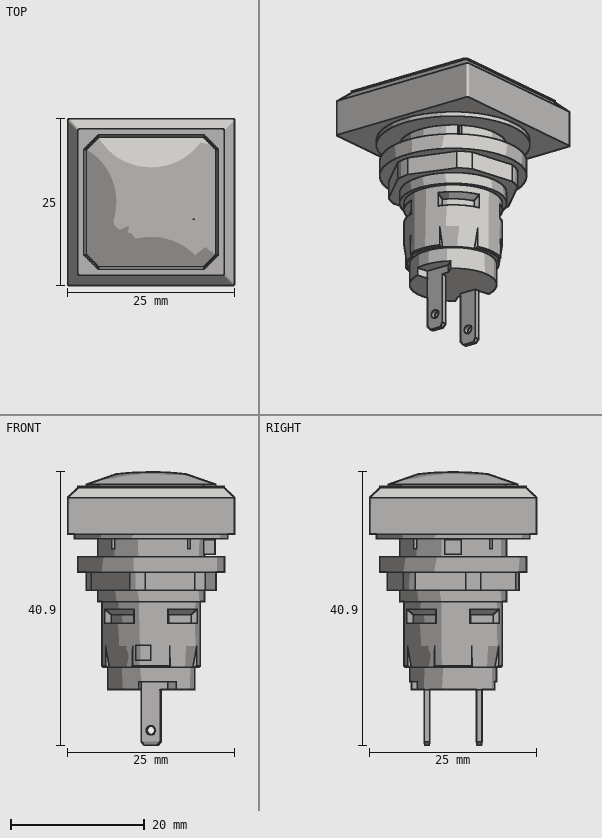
import cadquery as cq
import math


TERMINAL_TAPER_Z = 0.57
TERMINAL_HOLE_Z = 2.25
BASE_BOTTOM_Z = 8.35
BASE_NOTCH_TOP_Z = 9.53
SHELL_BOTTOM_Z = 11.7
RELIEF_TOP_Z = 14.85
NECK_BOTTOM_Z = 21.45
NUT_BOTTOM_Z = 23.2
RING_BOTTOM_Z = 25.9
RING_TOP_Z = 28.2
WASHER_BOTTOM_Z = 30.87
BEZEL_BOTTOM_Z = 31.55
BEZEL_SLOPE_Z = 37.05
BEZEL_LIP_Z = 38.48
BEZEL_TOP_Z = 38.72
LENS_RIM_Z = 39.0
LENS_TOP_Z = 40.9

NECK_DIAMETER = 16.0
RING_DIAMETER = 22.0
RING_RECESS_DIAMETER = 19.5
RING_RECESS_DEPTH = 2.05
WASHER_DIAMETER = 23.0
SHELL_DIAMETER = 14.7
CORE_DIAMETER = 13.05
SHELL_CHAMFER = 0.2

NUT_ACROSS_FLATS = 18.2
NUT_CORNER_DIAMETER = 19.8
NUT_CORNER_ANGLE = 18.0

BEZEL_WIDTH = 25.0
BEZEL_TOP_WIDTH = 21.9
BEZEL_CORNER_RADIUS = 0.33
LENS_WIDTH = 19.4
LENS_CORNER_CHAMFER = 1.85
GROOVE_WIDTH = 20.1
GROOVE_CORNER_CHAMFER = 2.2
GROOVE_DEPTH = 0.4
FACET_REACH = 5.2

NECK_NOTCH_OFFSET = 5.45
NECK_NOTCH_BOTTOM_Z = 29.35
KEY_OUTER_X = 9.55
KEY_WIDTH = 2.45
KEY_BOTTOM_Z = 28.55
KEY_TOP_Z = 30.75

WINDOW_BOTTOM_Z = 18.25
WINDOW_TOP_Z = 20.35
WINDOW_INNER_TOP_Z = 19.55
WINDOW_OUTER_WIDTH = 6.2
WINDOW_INNER_WIDTH = 4.8
RELIEF_BOTTOM_DIAMETER = 13.75
RELIEF_OUTER_WIDTH = 5.72
RELIEF_INNER_WIDTH = 4.8

LATCH_SIZE = 2.25
LATCH_LEFT_X = -2.3
LATCH_BOTTOM_Z = 12.7

TERMINAL_WIDTH = 2.82
TERMINAL_THICKNESS = 0.85
TERMINAL_SPACING = 7.8
TERMINAL_SHIFT = 0.1
TERMINAL_TIP_WIDTH = 1.92
TERMINAL_TIP_THICKNESS = 0.65
TERMINAL_HOLE_DIAMETER = 1.3
BASE_NOTCH_LEFT_X = -1.9
BASE_NOTCH_RIGHT_X = 3.72
BASE_NOTCH_FLOOR_RIGHT_X = 2.45

OVERLAP = 0.4
QUARTER_TURNS = (0, 90, 180, 270)
HALF_TURNS = (0, 180)
DIAGONALS = (45, 135, 225, 315)
ABOUT_AXIS = ((0, 0, 0), (0, 0, 1))


def disc(diameter, bottom, top):
    return cq.Workplane("XY").workplane(offset=bottom).circle(diameter / 2).extrude(top - bottom)


def chord_distance(radius, width):
    """Distance from the axis to a chord of the given width."""
    return math.sqrt(radius**2 - (width / 2) ** 2)


def chamfered_square(width, chamfer, z):
    """Closed square outline with cut corners, lying at height z."""
    half = width / 2
    cut = half - chamfer
    points = [
        (half, -cut), (half, cut), (cut, half), (-cut, half),
        (-half, cut), (-half, -cut), (-cut, -half), (cut, -half),
    ]
    return cq.Wire.makePolygon([cq.Vector(x, y, z) for x, y in points], close=True)


def rounded_square(width, radius, z):
    """Closed square outline with rounded corners, lying at height z."""
    block = cq.Workplane("XY").workplane(offset=z).rect(width, width).extrude(width)
    block = block.edges("|Z").fillet(radius)
    return block.faces("<Z").val().outerWire()


def square_frustum(lower, upper):
    """Solid with flat sides between two outlines."""
    return cq.Workplane(obj=cq.Solid.makeLoft([lower, upper], True))


def make_bezel():
    foot = rounded_square(BEZEL_WIDTH, BEZEL_CORNER_RADIUS, BEZEL_BOTTOM_Z)
    shoulder = rounded_square(BEZEL_WIDTH, BEZEL_CORNER_RADIUS, BEZEL_SLOPE_Z)
    lip = rounded_square(BEZEL_TOP_WIDTH, BEZEL_CORNER_RADIUS, BEZEL_LIP_Z)
    rim = rounded_square(BEZEL_TOP_WIDTH, BEZEL_CORNER_RADIUS, BEZEL_TOP_Z)
    bezel = square_frustum(foot, shoulder)
    bezel = bezel.union(square_frustum(shoulder, lip)).union(square_frustum(lip, rim))
    groove = square_frustum(
        chamfered_square(LENS_WIDTH, LENS_CORNER_CHAMFER, BEZEL_TOP_Z - GROOVE_DEPTH),
        chamfered_square(GROOVE_WIDTH, GROOVE_CORNER_CHAMFER, BEZEL_TOP_Z),
    )
    return bezel.cut(groove)


def make_lens():
    """Octagonal lens with a spherical top and a flat sloping facet on each side."""
    half = LENS_WIDTH / 2
    corner_reach = math.hypot(half, half - LENS_CORNER_CHAMFER)
    rise = LENS_TOP_Z - LENS_RIM_Z
    sphere_radius = (corner_reach**2 + rise**2) / (2 * rise)
    sphere_center_z = LENS_TOP_Z - sphere_radius
    foot_z = BEZEL_TOP_Z - GROOVE_DEPTH - OVERLAP
    lens = square_frustum(
        chamfered_square(LENS_WIDTH, LENS_CORNER_CHAMFER, foot_z),
        chamfered_square(LENS_WIDTH, LENS_CORNER_CHAMFER, LENS_TOP_Z + OVERLAP),
    )
    sphere = cq.Workplane("XY").sphere(sphere_radius).translate((0, 0, sphere_center_z))
    lens = lens.intersect(sphere)

    facet_top_z = sphere_center_z + math.sqrt(sphere_radius**2 - FACET_REACH**2)
    slope = (facet_top_z - LENS_RIM_Z) / (half - FACET_REACH)
    outer_x = half + OVERLAP
    peak_z = LENS_RIM_Z + slope * half
    waste = (
        cq.Workplane("XZ")
        .polyline([(0, peak_z), (outer_x, LENS_RIM_Z - slope * OVERLAP), (outer_x, peak_z)])
        .close()
        .extrude(LENS_WIDTH, both=True)
    )
    for angle in QUARTER_TURNS:
        lens = lens.cut(waste.rotate(*ABOUT_AXIS, angle))
    return lens


def make_neck():
    """Neck with a washer under the bezel, four square corner notches and a key."""
    neck = disc(NECK_DIAMETER, NECK_BOTTOM_Z, BEZEL_BOTTOM_Z)
    notch_size = NECK_DIAMETER / 2 - NECK_NOTCH_OFFSET
    notch = (
        cq.Workplane("XY")
        .box(notch_size, notch_size, WASHER_BOTTOM_Z - NECK_NOTCH_BOTTOM_Z, centered=False)
        .translate((NECK_NOTCH_OFFSET, NECK_NOTCH_OFFSET, NECK_NOTCH_BOTTOM_Z))
    )
    for angle in QUARTER_TURNS:
        neck = neck.cut(notch.rotate(*ABOUT_AXIS, angle))
    key = (
        cq.Workplane("XY")
        .box(KEY_OUTER_X, KEY_WIDTH, KEY_TOP_Z - KEY_BOTTOM_Z, centered=(False, True, False))
        .translate((0, 0, KEY_BOTTOM_Z))
    )
    washer = disc(WASHER_DIAMETER, WASHER_BOTTOM_Z, BEZEL_BOTTOM_Z)
    return neck.union(key).union(washer)


def make_mounting_ring():
    """Ring with a wide recess around the neck, open at the top."""
    ring = disc(RING_DIAMETER, RING_BOTTOM_Z, RING_TOP_Z)
    return ring.cut(disc(RING_RECESS_DIAMETER, RING_TOP_Z - RING_RECESS_DEPTH, RING_TOP_Z))


def make_nut():
    corner_to_corner = NUT_ACROSS_FLATS / math.cos(math.radians(30))
    hexagon = (
        cq.Workplane("XY")
        .workplane(offset=NUT_BOTTOM_Z)
        .polygon(6, corner_to_corner)
        .extrude(RING_BOTTOM_Z - NUT_BOTTOM_Z)
        .rotate(*ABOUT_AXIS, NUT_CORNER_ANGLE)
    )
    return hexagon.intersect(disc(NUT_CORNER_DIAMETER, NUT_BOTTOM_Z, RING_BOTTOM_Z))


def tapered_sector(outer_radius, outer_width, inner_radius, inner_width, bottom, top):
    """Prism around +X whose side walls cross the two given chords."""
    outer_x = chord_distance(outer_radius, outer_width)
    inner_x = chord_distance(inner_radius, inner_width)
    flare = (outer_width - inner_width) / 2 / (outer_x - inner_x)
    far_x = outer_radius + OVERLAP
    near_x = inner_x - OVERLAP
    far_half = outer_width / 2 + flare * (far_x - outer_x)
    near_half = inner_width / 2 - flare * OVERLAP
    return (
        cq.Workplane("XY")
        .workplane(offset=bottom)
        .polyline([(near_x, -near_half), (far_x, -far_half), (far_x, far_half), (near_x, near_half)])
        .close()
        .extrude(top - bottom)
    )


def revolved(profile):
    """Full turn about Z of a closed (radius, height) profile."""
    return cq.Workplane("XZ").polyline(profile).close().revolve(360, (0, 0), (0, 1))


def make_window_cut():
    """Window down to the core with a roof that slopes down toward the axis."""
    shell_radius = SHELL_DIAMETER / 2
    core_radius = CORE_DIAMETER / 2
    roof_slope = (WINDOW_TOP_Z - WINDOW_INNER_TOP_Z) / (shell_radius - core_radius)
    far_x = shell_radius + OVERLAP
    far_top_z = WINDOW_TOP_Z + roof_slope * OVERLAP
    band = revolved([
        (core_radius, WINDOW_BOTTOM_Z), (far_x, WINDOW_BOTTOM_Z),
        (far_x, far_top_z), (core_radius, WINDOW_INNER_TOP_Z),
    ])
    sector = tapered_sector(
        shell_radius, WINDOW_OUTER_WIDTH, core_radius, WINDOW_INNER_WIDTH, WINDOW_BOTTOM_Z, far_top_z
    )
    return sector.intersect(band)


def make_relief_cut():
    """Relief open at the bottom of the shell, with a conical floor that runs out at its top."""
    shell_radius = SHELL_DIAMETER / 2
    floor_radius = RELIEF_BOTTOM_DIAMETER / 2
    far_x = shell_radius + OVERLAP
    band = revolved([
        (floor_radius, SHELL_BOTTOM_Z), (far_x, SHELL_BOTTOM_Z),
        (far_x, RELIEF_TOP_Z), (shell_radius, RELIEF_TOP_Z),
    ])
    sector = tapered_sector(
        shell_radius, RELIEF_OUTER_WIDTH, floor_radius, RELIEF_INNER_WIDTH, SHELL_BOTTOM_Z, RELIEF_TOP_Z
    )
    return sector.intersect(band)


def make_shell():
    shell = disc(SHELL_DIAMETER, SHELL_BOTTOM_Z, NECK_BOTTOM_Z)
    shell = shell.faces("<Z").edges().chamfer(SHELL_CHAMFER)
    window = make_window_cut()
    relief = make_relief_cut()
    for angle in DIAGONALS:
        shell = shell.cut(window.rotate(*ABOUT_AXIS, angle))
        shell = shell.cut(relief.rotate(*ABOUT_AXIS, angle))
    latch = (
        cq.Workplane("XY")
        .box(LATCH_SIZE, SHELL_DIAMETER / 2, LATCH_SIZE, centered=False)
        .translate((LATCH_LEFT_X, -SHELL_DIAMETER / 2, LATCH_BOTTOM_Z))
        .cut(disc(CORE_DIAMETER, SHELL_BOTTOM_Z, NECK_BOTTOM_Z))
    )
    return shell.cut(latch)


def make_base_notch():
    """Notch on the -Y side whose floor is flush with the outer face of the terminal."""
    floor_y = -(TERMINAL_SPACING + TERMINAL_THICKNESS) / 2
    floor_left_x = -TERMINAL_SHIFT - TERMINAL_WIDTH / 2
    core_radius = CORE_DIAMETER / 2
    left_y = -chord_distance(core_radius, 2 * BASE_NOTCH_LEFT_X)
    right_y = -chord_distance(core_radius, 2 * BASE_NOTCH_RIGHT_X)
    outer_y = -core_radius - OVERLAP
    return (
        cq.Workplane("XY")
        .workplane(offset=BASE_BOTTOM_Z)
        .polyline([
            (floor_left_x, floor_y), (BASE_NOTCH_LEFT_X, left_y), (BASE_NOTCH_LEFT_X, outer_y),
            (BASE_NOTCH_RIGHT_X, outer_y), (BASE_NOTCH_RIGHT_X, right_y),
            (BASE_NOTCH_FLOOR_RIGHT_X, floor_y),
        ])
        .close()
        .extrude(BASE_NOTCH_TOP_Z - BASE_BOTTOM_Z)
    )


def make_terminal():
    """Flat -Y terminal with a tapered tip and a wire hole."""
    tip = (
        cq.Workplane("XY")
        .rect(TERMINAL_TIP_WIDTH, TERMINAL_TIP_THICKNESS)
        .workplane(offset=TERMINAL_TAPER_Z)
        .rect(TERMINAL_WIDTH, TERMINAL_THICKNESS)
        .loft(ruled=True)
    )
    blade = (
        cq.Workplane("XY")
        .workplane(offset=TERMINAL_TAPER_Z)
        .rect(TERMINAL_WIDTH, TERMINAL_THICKNESS)
        .extrude(BASE_NOTCH_TOP_Z - TERMINAL_TAPER_Z)
    )
    hole = (
        cq.Workplane("XZ")
        .center(0, TERMINAL_HOLE_Z)
        .circle(TERMINAL_HOLE_DIAMETER / 2)
        .extrude(TERMINAL_THICKNESS, both=True)
    )
    return tip.union(blade).cut(hole).translate((-TERMINAL_SHIFT, -TERMINAL_SPACING / 2, 0))


def make_base():
    """Round base with a notch and a terminal on each side, half a turn apart."""
    base = disc(CORE_DIAMETER, BASE_BOTTOM_Z, SHELL_BOTTOM_Z)
    notch = make_base_notch()
    terminal = make_terminal()
    for angle in HALF_TURNS:
        base = base.cut(notch.rotate(*ABOUT_AXIS, angle))
        base = base.union(terminal.rotate(*ABOUT_AXIS, angle))
    return base


result = (
    make_bezel()
    .union(make_lens())
    .union(make_neck())
    .union(make_mounting_ring())
    .union(make_nut())
    .union(make_shell())
    .union(make_base())
)